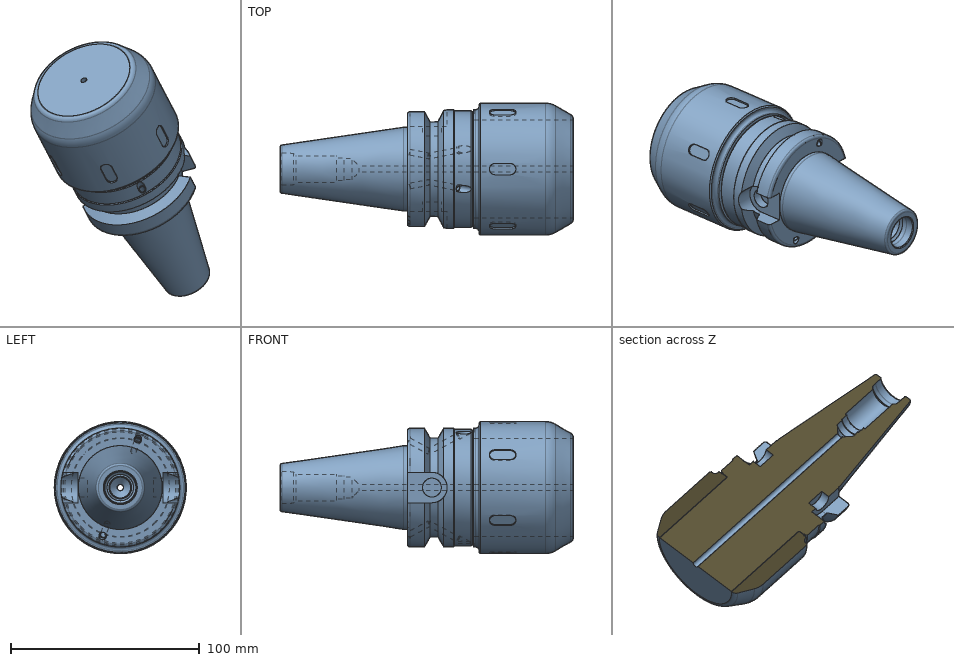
import math

import cadquery as cq


gauge_radius = 44.45 / 2
taper_length = 65.4
taper_rate = 7 / 24 / 2
shank_end_radius = gauge_radius - taper_length * taper_rate
shank_end_fillet = 1.2

flange_face_x = 2.0
flange_radius = 31.5
flange_fillet = 1.5
groove_centre_x = 16.2
groove_floor_radius = 26.3
groove_floor_width = 4.2
groove_flank_angle = 30.0
groove_half_floor = groove_floor_width / 2
groove_half_mouth = groove_half_floor + (flange_radius - groove_floor_radius) * math.tan(
    math.radians(groove_flank_angle)
)
flange_end_x = 27.0
collar_radius = 31.0
collar_step = flange_radius - collar_radius
collar_end_x = 36.6
collar_chamfer = 0.8
neck_radius = 29.4
core_radius = 52 / 2

drive_slot_width = 16.1
drive_slot_end_x = 23.1
drive_slot_centre_x = drive_slot_end_x - drive_slot_width / 2
drive_slot_floor = 22.5
floor_hole_diameter = 10.0
floor_hole_depth = 5.0

bore_mouth_radius = 18 / 2
pilot_radius = 17 / 2
pilot_depth = 4.7
relief_radius = 16.5 / 2
relief_depth = 7.2
thread_radius = 14 / 2
thread_depth = 30.0
counterbore_radius = 12 / 2
counterbore_depth = 34.0
drill_radius = 11 / 2
drill_depth = 38.0
passage_radius = 3.2 / 2
half_point_angle = 45.0

coolant_roll = 20.0
coolant_tilt = 30.0
coolant_mouth_diameter = 4.0
coolant_diameter = 3.0
inlet_radius_from_axis = 27.0
inlet_mouth_depth = 0.7
outlet_x = 32.0
outlet_mouth_depth = 3.6

nose_x = 90.0
nut_start_x = 37.1
nut_radius = 35.0
nut_lip_radius = flange_radius
nut_cove_radius = 2.0
nut_back_x = 40.0
nut_back_chamfer = 0.7
shoulder_x = 75.2
shoulder_fillet = 10.4
nose_angle = 30.0
nose_fillet = 3.0
spanner_slot_count = 6
spanner_slot_length = 14.0
spanner_slot_width = 6.0
spanner_slot_centre_x = 52.5
spanner_slot_depth = 1.0


def revolve_about_x(profile):
    return profile.close().revolve(360, (0, 0, 0), (1, 0, 0))


def radial_outside(height):
    """Workplane parallel to XY, above the axis, facing away from it."""
    return cq.Workplane("XY").workplane(offset=height)


def make_body_blank():
    profile = (
        cq.Workplane("XY")
        .moveTo(-taper_length, 0)
        .lineTo(-taper_length, shank_end_radius)
        .lineTo(0, gauge_radius)
        .lineTo(flange_face_x, gauge_radius)
        .lineTo(flange_face_x, flange_radius - flange_fillet)
        .radiusArc((flange_face_x + flange_fillet, flange_radius), flange_fillet)
        .lineTo(groove_centre_x - groove_half_mouth, flange_radius)
        .lineTo(groove_centre_x - groove_half_floor, groove_floor_radius)
        .lineTo(groove_centre_x + groove_half_floor, groove_floor_radius)
        .lineTo(groove_centre_x + groove_half_mouth, flange_radius)
        .lineTo(flange_end_x - collar_step, flange_radius)
        .lineTo(flange_end_x, collar_radius)
        .lineTo(collar_end_x - collar_chamfer, collar_radius)
        .lineTo(collar_end_x, collar_radius - collar_chamfer)
        .lineTo(collar_end_x, neck_radius)
        .lineTo(nut_start_x, neck_radius)
        .lineTo(nut_start_x, core_radius)
        .lineTo(nose_x, core_radius)
        .lineTo(nose_x, 0)
    )
    return revolve_about_x(profile).faces("<X").edges().fillet(shank_end_fillet)


def make_pull_stud_bore():
    start = -taper_length
    mouth_chamfer = bore_mouth_radius - pilot_radius
    thread_lead = relief_radius - thread_radius
    point_length = (drill_radius - passage_radius) / math.tan(math.radians(half_point_angle))
    profile = (
        cq.Workplane("XY")
        .moveTo(start, 0)
        .lineTo(start, bore_mouth_radius)
        .lineTo(start + mouth_chamfer, pilot_radius)
        .lineTo(start + pilot_depth, pilot_radius)
        .lineTo(start + relief_depth, relief_radius)
        .lineTo(start + relief_depth + thread_lead, thread_radius)
        .lineTo(start + thread_depth, thread_radius)
        .lineTo(start + thread_depth, counterbore_radius)
        .lineTo(start + counterbore_depth, counterbore_radius)
        .lineTo(start + counterbore_depth, drill_radius)
        .lineTo(start + drill_depth, drill_radius)
        .lineTo(start + drill_depth + point_length, passage_radius)
        .lineTo(nose_x, passage_radius)
        .lineTo(nose_x, 0)
    )
    return revolve_about_x(profile)


def make_drive_slot():
    """Round-ended slot open to the flange face, with a blind hole in its floor, on the +Z side."""
    open_length = drive_slot_centre_x - flange_face_x
    straight = (
        radial_outside(drive_slot_floor)
        .center(drive_slot_centre_x - open_length / 2, 0)
        .rect(open_length, drive_slot_width)
        .extrude(flange_radius)
    )
    floor_centre = radial_outside(drive_slot_floor).center(drive_slot_centre_x, 0)
    round_end = floor_centre.circle(drive_slot_width / 2).extrude(flange_radius)
    floor_hole = floor_centre.circle(floor_hole_diameter / 2).extrude(-floor_hole_depth)
    return straight.union(round_end).union(floor_hole)


def make_coolant_channel():
    """Inlet from the flange face and outlet on the collar, meeting under the groove."""
    tilt = math.radians(coolant_tilt)
    slope = math.tan(tilt)
    junction_x = (
        inlet_radius_from_axis - collar_radius + slope * (flange_face_x + outlet_x)
    ) / (2 * slope)
    overrun = 2 * coolant_mouth_diameter
    channel = cq.Workplane("XY")
    ends = (
        (flange_face_x, inlet_radius_from_axis, 1, inlet_mouth_depth),
        (outlet_x, collar_radius, -1, outlet_mouth_depth),
    )
    for mouth_x, mouth_radius, heading, mouth_depth in ends:
        mouth = cq.Vector(mouth_x, 0, mouth_radius)
        inward = cq.Vector(heading * math.cos(tilt), 0, -math.sin(tilt))
        reach = abs(junction_x - mouth_x) / math.cos(tilt)
        wide = cq.Solid.makeCylinder(
            coolant_mouth_diameter / 2, mouth_depth + overrun, mouth - inward * overrun, inward
        )
        narrow = cq.Solid.makeCylinder(coolant_diameter / 2, reach, mouth, inward)
        channel = channel.add(wide).add(narrow)
    return channel.combine()


def make_body():
    body = make_body_blank().cut(make_pull_stud_bore())
    drive_slot = make_drive_slot()
    coolant_channel = make_coolant_channel()
    for half_turn in (0, 180):
        body = body.cut(drive_slot.rotate((0, 0, 0), (1, 0, 0), 90 + half_turn))
        body = body.cut(coolant_channel.rotate((0, 0, 0), (1, 0, 0), coolant_roll + half_turn))
    return body


def make_nut_blank():
    angle = math.radians(nose_angle)
    arc_end_x = shoulder_x + shoulder_fillet * math.sin(angle)
    arc_end_radius = nut_radius - shoulder_fillet * (1 - math.cos(angle))
    arc_mid_x = shoulder_x + shoulder_fillet * math.sin(angle / 2)
    arc_mid_radius = nut_radius - shoulder_fillet * (1 - math.cos(angle / 2))
    nose_radius = arc_end_radius - (nose_x - arc_end_x) * math.tan(angle)
    cove_start_x = nut_back_x - nut_cove_radius
    cove_mid = nut_cove_radius * math.sqrt(0.5)
    cove_centre_radius = nut_lip_radius + nut_cove_radius
    profile = (
        cq.Workplane("XY")
        .moveTo(nut_start_x, core_radius)
        .lineTo(nut_start_x, nut_lip_radius)
        .lineTo(cove_start_x, nut_lip_radius)
        .threePointArc(
            (cove_start_x + cove_mid, cove_centre_radius - cove_mid),
            (nut_back_x, cove_centre_radius),
        )
        .lineTo(nut_back_x, nut_radius - nut_back_chamfer)
        .lineTo(nut_back_x + nut_back_chamfer, nut_radius)
        .lineTo(shoulder_x, nut_radius)
        .threePointArc((arc_mid_x, arc_mid_radius), (arc_end_x, arc_end_radius))
        .lineTo(nose_x, nose_radius)
        .lineTo(nose_x, core_radius)
    )
    blank = revolve_about_x(profile)
    return blank.faces(">X").edges(cq.selectors.RadiusNthSelector(-1)).fillet(nose_fillet)


def make_nut():
    nut = make_nut_blank()
    spanner_slot = (
        radial_outside(nut_radius - spanner_slot_depth)
        .center(spanner_slot_centre_x, 0)
        .slot2D(spanner_slot_length, spanner_slot_width)
        .extrude(2 * spanner_slot_depth)
    )
    for index in range(spanner_slot_count):
        turn = index * 360 / spanner_slot_count
        nut = nut.cut(spanner_slot.rotate((0, 0, 0), (1, 0, 0), turn))
    return nut


body = make_body()
nut = make_nut()
result = cq.Compound.makeCompound([body.val(), nut.val()])